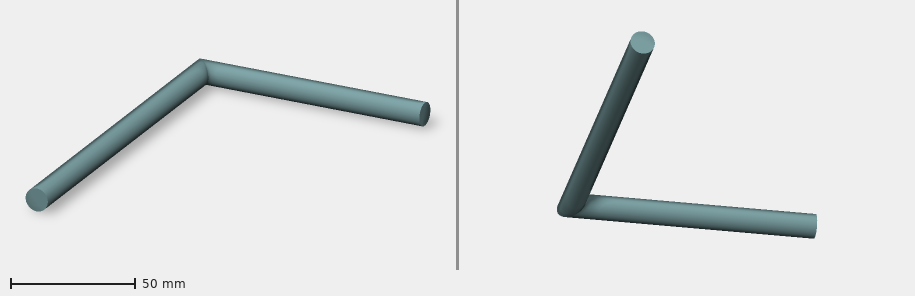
import cadquery as cq

bar_diameter = 10.0
long_leg = 150.0
short_leg = 100.0


def mitred_bar():
    """Sweep the round section along the L-shaped axis with a sharp mitre."""
    axis = cq.Workplane("XY").moveTo(0, -long_leg).lineTo(0, 0).lineTo(short_leg, 0)
    section = cq.Workplane("XZ", origin=(0, -long_leg, 0)).circle(bar_diameter / 2)
    return section.sweep(axis, transition="right")


result = mitred_bar()